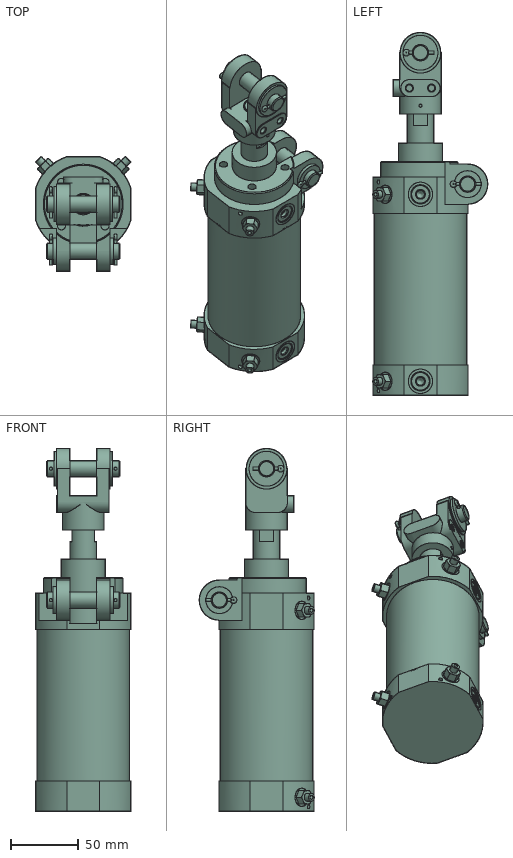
import cadquery as cq
import math

cap_top = 22.6
cover_bottom = 135.0
cover_top = 162.0
ring_top = 173.5
collar_top = 187.3
flats_bottom = 200.2
clevis_bottom = 208.9
block_bottom = 221.8
clevis_slot_floor = 234.5
overall_height = 269.5

tube_diameter = 69.0
tube_bore = 63.0
cover_diameter = 74.7
cover_width = 70.5
ring_diameter = 59.3
ring_chamfer = 0.8
collar_diameter = 33.0
rod_diameter = 20.0
stud_diameter = 16.0
stud_chamfer = 0.8
rod_flat_width = 17.0

fork_inner_x = 10.0
fork_outer_x = 20.0

ear_eye_diameter = 30.0
pivot_y = -35.0
pivot_z = 156.8
ear_bottom = pivot_z - ear_eye_diameter / 2
relief_y = -18.0
ear_slot_floor = 139.3
screw_hole_diameter = 6.0
screw_hole_offset = 16.2
screw_hole_depth = 8.0

port_heights = (10.5, 149.3)
port_face_diameter = 18.0
port_face_depth = 0.3
port_ring_diameter = 14.3
port_floor_diameter = 13.2
port_drill_mouth = 7.3
port_drill_diameter = 6.0
port_drill_depth = 2.7
port_drill_tip = port_drill_diameter / 2

valve_seat_diameter = 13.5
valve_seat_radius = 36.7
valve_nut_width = 10.0
valve_nut_end = 42.5
valve_nut_chamfer = 0.5
valve_stem_diameter = 6.0
valve_stem_end = 47.2
valve_socket_diameter = 3.0
valve_root = 34.0

bleed_diameter = 3.0
bleed_depth = 2.7
bleed_end_distance = 3.5
bleed_angle = 57

boss_diameter = 31.0
block_depth = boss_diameter
block_half_width = 19.0
block_fillet = 7.5
rod_eye_diameter = 30.2
rod_eye_z = overall_height - rod_eye_diameter / 2
pad_height = clevis_slot_floor - block_bottom
pad_z = block_bottom + pad_height / 2
pad_length = 29.0
pad_top_y = 20.2
pad_hole_spacing = 16.5
pad_hole_diameter = 4.9
pad_hole_mouth = 6.0
pad_hole_depth = 5.5
set_screw_diameter = 2.3
set_screw_depth = 2.7
set_screw_z = 215.0

pin_diameter = 12.0
pin_half_length = 27.2
pin_chamfer = 0.8
rod_washer_diameter = 26.0
rod_washer_thickness = 1.5
ear_washer_diameter = 20.0
ear_washer_thickness = 2.5
cotter_diameter = 2.3
cotter_x = 24.0
cotter_tail_y = -10.2
cotter_loop_y = 10.5
cotter_loop_radius = 1.3


def disc(diameter, bottom, top):
    """Upright cylinder on the Z axis between two levels."""
    return cq.Workplane("XY").workplane(offset=bottom).circle(diameter / 2).extrude(top - bottom)


def slab(x_range, y_range, z_range):
    """Box given by its limits along each axis."""
    size = [high - low for low, high in (x_range, y_range, z_range)]
    corner = (x_range[0], y_range[0], z_range[0])
    return cq.Workplane("XY").box(*size, centered=False).translate(corner)


def cylinder_x(diameter, x_start, x_end, y, z):
    """Cylinder parallel to X."""
    profile = cq.Workplane("YZ").workplane(offset=x_start).center(y, z).circle(diameter / 2)
    return profile.extrude(x_end - x_start)


def cover_blank(bottom, top):
    """Round cover with a flat on each of its four sides."""
    half = cover_width / 2
    return disc(cover_diameter, bottom, top).intersect(slab((-half, half), (-half, half), (bottom, top)))


def air_port(z):
    """Shallow spot-faced port with a chamfered blind drilling, cut into the -X flat."""
    face_radius = port_face_diameter / 2
    ring_radius = port_ring_diameter / 2
    floor_radius = port_floor_diameter / 2
    drill_mouth_radius = port_drill_mouth / 2
    drill_radius = port_drill_diameter / 2
    floor_depth = port_face_depth + ring_radius - floor_radius
    drill_start = floor_depth + drill_mouth_radius - drill_radius
    drill_end = drill_start + port_drill_depth
    profile = [
        (0, 0),
        (0, face_radius),
        (port_face_depth, face_radius),
        (port_face_depth, ring_radius),
        (floor_depth, floor_radius),
        (floor_depth, drill_mouth_radius),
        (drill_start, drill_radius),
        (drill_end, drill_radius),
        (drill_end + port_drill_tip, 0),
    ]
    port = cq.Workplane("XY").polyline(profile).close().revolve(360, (0, 0, 0), (1, 0, 0))
    return port.translate((-cover_width / 2, 0, z))


def cushion_valve(z, angle):
    """Hexagon nut and stem standing out radially from a cover."""
    corner_diameter = valve_nut_width / math.cos(math.pi / 6)
    nut = cq.Workplane("YZ").workplane(offset=valve_root).polygon(6, corner_diameter)
    nut = nut.extrude(valve_nut_end - valve_root)
    chamfered_bar = cylinder_x(corner_diameter, valve_root, valve_nut_end, 0, 0)
    nut = nut.intersect(chamfered_bar.faces(">X").chamfer(valve_nut_chamfer))
    stem = cylinder_x(valve_stem_diameter, valve_root, valve_stem_end, 0, 0)
    socket_radius = valve_socket_diameter / 2
    socket = cq.Solid.makeCone(
        socket_radius, 0, socket_radius, pnt=cq.Vector(valve_stem_end, 0, 0), dir=cq.Vector(-1, 0, 0)
    )
    valve = nut.union(stem).cut(cq.Workplane(socket))
    return valve.rotate((0, 0, 0), (0, 0, 1), angle).translate((0, 0, z))


def radial_drilling(diameter, floor_radius, z, angle):
    """Cutter for a flat-bottomed hole reaching from outside a cover in to a radius."""
    cutter = cylinder_x(diameter, floor_radius, cover_diameter, 0, z)
    return cutter.rotate((0, 0, 0), (0, 0, 1), angle)


def add_fittings(cover, port_z, bleed_z):
    """Cut the air port and bleed holes and add the two cushion valves of one cover."""
    cover = cover.cut(air_port(port_z))
    for angle in (45, 135):
        cover = cover.cut(radial_drilling(valve_seat_diameter, valve_seat_radius, port_z, angle))
        cover = cover.union(cushion_valve(port_z, angle))
    for angle in (bleed_angle, 180 - bleed_angle):
        bleed_floor = cover_diameter / 2 - bleed_depth
        cover = cover.cut(radial_drilling(bleed_diameter, bleed_floor, bleed_z, angle))
    return cover


def make_head_cover():
    return add_fittings(cover_blank(0, cap_top), port_heights[0], bleed_end_distance)


def make_tube():
    return disc(tube_diameter, cap_top, cover_bottom).cut(disc(tube_bore, cap_top, cover_bottom))


def make_ear(x_range):
    """Ear with a round end about the pivot, running back into the cover."""
    ear = slab(x_range, (pivot_y, 0), (ear_bottom, ear_bottom + ear_eye_diameter))
    return ear.union(cylinder_x(ear_eye_diameter, *x_range, pivot_y, pivot_z))


def make_rod_cover():
    half = cover_width / 2
    ring = disc(ring_diameter, cover_top, ring_top).faces(">Z").chamfer(ring_chamfer)
    cover = cover_blank(cover_bottom, cover_top).union(ring)
    for x_range in ((-half, -fork_outer_x), (fork_outer_x, half)):
        cover = cover.cut(slab(x_range, (-half, relief_y), (ear_bottom, ring_top)))
    for x_range in ((-fork_outer_x, -fork_inner_x), (fork_inner_x, fork_outer_x)):
        cover = cover.union(make_ear(x_range))
    slot = slab((-fork_inner_x, fork_inner_x), (-half, 0), (ear_slot_floor, ring_top))
    cover = cover.cut(slot)
    cover = cover.cut(disc(collar_diameter, ear_slot_floor, ring_top))
    cover = cover.cut(disc(rod_diameter, cover_bottom, ear_slot_floor))
    cover = cover.cut(cylinder_x(pin_diameter, -fork_outer_x, fork_outer_x, pivot_y, pivot_z))
    hole_spacing = 2 * screw_hole_offset
    holes = cq.Workplane("XY").workplane(offset=ring_top).rarray(hole_spacing, hole_spacing, 2, 2)
    cover = cover.cut(holes.circle(screw_hole_diameter / 2).extrude(-screw_hole_depth))
    return add_fittings(cover, port_heights[1], cover_top - bleed_end_distance)


def make_collar():
    """Guide collar seated in the rod cover around the rod."""
    return disc(collar_diameter, ear_slot_floor, collar_top).cut(
        disc(rod_diameter, ear_slot_floor, collar_top)
    )


def make_rod():
    """Rod with two wrench flats and a stud that fills the clevis hole."""
    rod = disc(rod_diameter, cover_bottom, clevis_bottom)
    radius = rod_diameter / 2
    half_flats = rod_flat_width / 2
    for x_range in ((-radius, -half_flats), (half_flats, radius)):
        rod = rod.cut(slab(x_range, (-radius, radius), (flats_bottom, clevis_bottom)))
    stud = disc(stud_diameter, clevis_bottom, clevis_slot_floor).faces(">Z").chamfer(stud_chamfer)
    return rod.union(stud)


def make_clevis():
    half_depth = block_depth / 2
    block = slab((-block_half_width, block_half_width), (-half_depth, half_depth), (block_bottom, rod_eye_z))
    block = block.edges("|X and <Z").fillet(block_fillet)
    clevis = block.union(disc(boss_diameter, clevis_bottom, clevis_slot_floor))
    clevis = clevis.union(cylinder_x(rod_eye_diameter, -fork_outer_x, fork_outer_x, 0, rod_eye_z))
    side_pad = cq.Workplane("YZ", origin=(-fork_outer_x, 0, pad_z)).slot2D(pad_length, pad_height)
    clevis = clevis.union(side_pad.extrude(fork_outer_x))
    back_pad = cq.Workplane("XZ", origin=(0, pad_top_y, pad_z)).slot2D(pad_length, pad_height)
    clevis = clevis.union(back_pad.extrude(pad_top_y))
    fork_slot = slab(
        (-fork_inner_x, fork_inner_x), (-half_depth, half_depth), (clevis_slot_floor, overall_height)
    )
    clevis = clevis.cut(fork_slot)
    clevis = clevis.cut(cylinder_x(pin_diameter, -fork_outer_x, fork_outer_x, 0, rod_eye_z))
    clevis = clevis.cut(disc(stud_diameter, clevis_bottom, clevis_slot_floor))
    mouth_depth = (pad_hole_mouth - pad_hole_diameter) / 2
    for y in (-pad_hole_spacing / 2, pad_hole_spacing / 2):
        mouth = cq.Solid.makeCone(
            pad_hole_mouth / 2,
            pad_hole_diameter / 2,
            mouth_depth,
            pnt=cq.Vector(-fork_outer_x, y, pad_z),
            dir=cq.Vector(1, 0, 0),
        )
        clevis = clevis.cut(cq.Workplane(mouth))
        clevis = clevis.cut(
            cylinder_x(pad_hole_diameter, -fork_outer_x, -fork_outer_x + pad_hole_depth, y, pad_z)
        )
    boss_side = -boss_diameter / 2
    set_screw_hole = cylinder_x(
        set_screw_diameter, boss_side, boss_side + set_screw_depth, 0, set_screw_z
    )
    return clevis.cut(set_screw_hole)


def make_pin(y, z, washer_diameter, washer_thickness):
    """Pin with a washer and a looped cotter at each end."""
    pin = cylinder_x(pin_diameter, -pin_half_length, pin_half_length, 0, 0)
    pin = pin.faces("<X or >X").chamfer(pin_chamfer)
    washer_end = fork_outer_x + washer_thickness
    shank = cq.Workplane("XZ", origin=(0, cotter_tail_y, 0)).circle(cotter_diameter / 2)
    shank = shank.extrude(cotter_tail_y - cotter_loop_y + cotter_loop_radius)
    loop = cq.Workplane(
        cq.Solid.makeTorus(
            cotter_loop_radius,
            cotter_diameter / 2,
            pnt=cq.Vector(0, cotter_loop_y, 0),
            dir=cq.Vector(1, 0, 0),
        )
    )
    cotter = shank.union(loop)
    for side in (-1, 1):
        washer = cylinder_x(washer_diameter, side * fork_outer_x, side * washer_end, 0, 0)
        pin = pin.union(washer)
        pin = pin.union(cotter.translate((side * cotter_x, 0, 0)))
    return pin.translate((0, y, z))


head_cover = make_head_cover()
tube = make_tube()
rod_cover = make_rod_cover()
collar = make_collar()
rod = make_rod()
clevis = make_clevis()
clevis_pin = make_pin(0, rod_eye_z, rod_washer_diameter, rod_washer_thickness)
ear_pin = make_pin(pivot_y, pivot_z, ear_washer_diameter, ear_washer_thickness)

bodies = (head_cover, tube, rod_cover, collar, rod, clevis, clevis_pin, ear_pin)
result = cq.Compound.makeCompound([body.solids().val() for body in bodies])